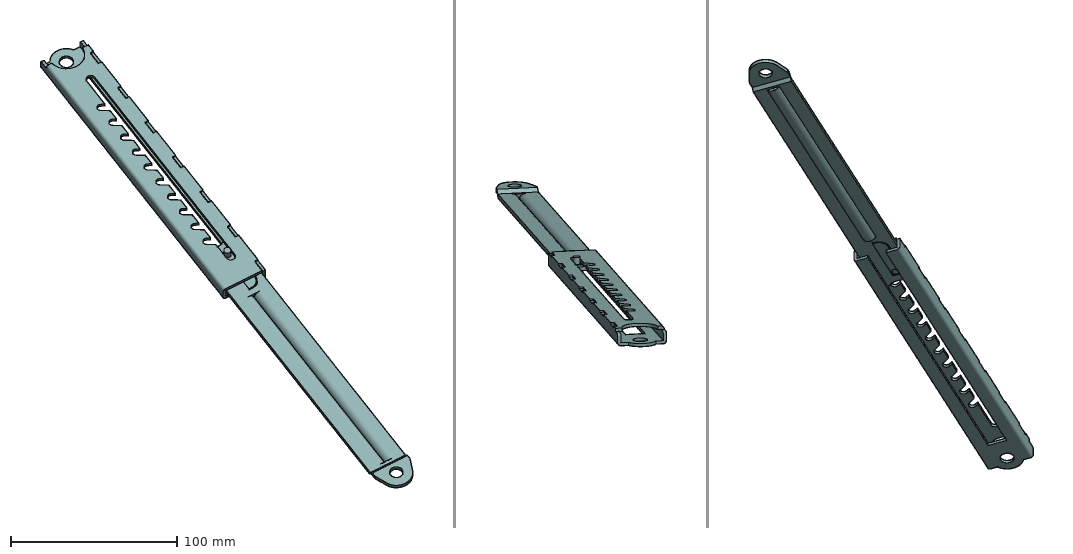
import cadquery as cq
import math


SHEET = 2.0
HOUSING_WIDTH = 30.0
HOUSING_HEIGHT = 9.5
HOUSING_END = 211.0
WALL_START = 4.7
ROOF_START = 11.0
BEND_RADIUS = 2.0
WALL_CORNER_RADIUS = 1.5
LUG_RADIUS = 10.0
HOUSING_HOLE_DIAMETER = 8.6
LUG_CLEARANCE_RADIUS = 11.0
FLOOR_OPENING_WIDTH = 12.0
FLOOR_OPENING_START = 25.0

EDGE_NOTCH_COUNT = 7
EDGE_NOTCH_PITCH = 30.96
EDGE_NOTCH_START = 16.8
EDGE_NOTCH_LENGTH = 9.4
EDGE_NOTCH_WIDTH = 2.2
EDGE_NOTCH_DEPTH = 1.0

SLOT_START = 31.0
SLOT_END = 194.6
SLOT_WIDTH = 5.6
SLOT_Y = 2.4
NOTCH_COUNT = 10
NOTCH_PITCH = 13.28
FIRST_NOTCH_X = 55.0
NOTCH_SEAT_RADIUS = 2.3
NOTCH_SEAT_DEPTH = 3.4
NOTCH_LEFT_REACH = 0.8
NOTCH_RIGHT_REACH = 5.0

TOTAL_LENGTH = 392.79
SLIDER_WIDTH = 25.0
SLIDER_THICKNESS = 2.5
SLIDER_BOTTOM = 4.5
SLIDER_START = 177.0
STEP_HEIGHT = 2.3
STEP_START = 373.3
STEP_END = 375.7
STEP_UNDERSIDE_LEAD = 0.8
TAPER_START = 378.5
SLIDER_HOLE_DIAMETER = 8.0
END_RECESS_HALF_CHORD = 7.1
SHOE_LENGTH = 23.0
GROOVE_START = 221.8
GROOVE_END = 371.0
GROOVE_HALF_WIDTH = 4.0
GROOVE_DEPTH = 3.0
BEAD_DEPTH = 2.0

WINDOW_START = 185.2
WINDOW_END = 217.6
WINDOW_BOTTOM_Y = -0.4
WINDOW_TOP_Y = 8.0
WINDOW_CORNER_RADIUS = 6.5
LATCH_GAP = 0.7

PIN_X = 188.2
PIN_DIAMETER = 4.4
PIN_TOP = 11.38

slider_top = SLIDER_BOTTOM + SLIDER_THICKNESS


def box(x_start, x_end, y_start, y_end, z_start, z_end):
    size = (x_end - x_start, y_end - y_start, z_end - z_start)
    return cq.Workplane("XY").box(*size, centered=False).translate((x_start, y_start, z_start))


def disc(x, y, radius, z_start, z_end):
    return cq.Workplane("XY").workplane(offset=z_start).center(x, y).circle(radius).extrude(z_end - z_start)


def notch_cutter(seat_x):
    """Hooked notch: a round seat whose two flanks rise to the edge of the guide slot."""
    slot_edge = SLOT_Y - SLOT_WIDTH / 2
    seat_y = slot_edge - NOTCH_SEAT_DEPTH
    left = (seat_x - NOTCH_LEFT_REACH, slot_edge)
    right = (seat_x + NOTCH_RIGHT_REACH, slot_edge)

    def tangent_point(corner, side):
        """Where the flank from the corner touches the seat circle on the given side."""
        dx, dy = corner[0] - seat_x, corner[1] - seat_y
        angle = math.atan2(dy, dx) + side * math.acos(NOTCH_SEAT_RADIUS / math.hypot(dx, dy))
        return seat_x + NOTCH_SEAT_RADIUS * math.cos(angle), seat_y + NOTCH_SEAT_RADIUS * math.sin(angle)

    return (
        cq.Workplane("XY")
        .workplane(offset=HOUSING_HEIGHT - SHEET)
        .moveTo(left[0], SLOT_Y)
        .lineTo(*left)
        .lineTo(*tangent_point(left, 1))
        .threePointArc((seat_x, seat_y - NOTCH_SEAT_RADIUS), tangent_point(right, -1))
        .lineTo(*right)
        .lineTo(right[0], SLOT_Y)
        .close()
        .extrude(SHEET)
    )


def make_housing():
    half_width = HOUSING_WIDTH / 2
    half_inside = half_width - SHEET
    body = box(WALL_START, HOUSING_END, -half_width, half_width, 0, HOUSING_HEIGHT)
    body = body.edges("|X").edges("<Y or <Z").fillet(BEND_RADIUS)
    cavity = box(WALL_START, HOUSING_END, -half_inside, half_inside, SHEET, HOUSING_HEIGHT - SHEET)
    body = body.cut(cavity)

    body = body.union(disc(LUG_RADIUS, 0, LUG_RADIUS, 0, SHEET))
    body = body.cut(disc(LUG_RADIUS, 0, HOUSING_HOLE_DIAMETER / 2, 0, SHEET))
    roof_underside = HOUSING_HEIGHT - SHEET
    body = body.cut(box(0, ROOF_START, -half_width, half_width, roof_underside, HOUSING_HEIGHT))
    wall_corners = cq.selectors.BoxSelector(
        (WALL_START - SHEET, -HOUSING_WIDTH, roof_underside - SHEET / 2),
        (WALL_START + SHEET, HOUSING_WIDTH, roof_underside + SHEET / 2),
    )
    body = body.edges("|Y").edges(wall_corners).fillet(WALL_CORNER_RADIUS)
    body = body.cut(disc(LUG_RADIUS, 0, LUG_CLEARANCE_RADIUS, SHEET, HOUSING_HEIGHT))

    half_opening = FLOOR_OPENING_WIDTH / 2
    body = body.cut(box(FLOOR_OPENING_START, HOUSING_END, -half_opening, half_opening, 0, SHEET))

    slot = (
        cq.Workplane("XY")
        .workplane(offset=HOUSING_HEIGHT - SHEET)
        .center((SLOT_START + SLOT_END) / 2, SLOT_Y)
        .slot2D(SLOT_END - SLOT_START, SLOT_WIDTH)
        .extrude(SHEET)
    )
    body = body.cut(slot)
    for index in range(NOTCH_COUNT):
        body = body.cut(notch_cutter(FIRST_NOTCH_X + index * NOTCH_PITCH))

    notch_floor = HOUSING_HEIGHT - EDGE_NOTCH_DEPTH
    for index in range(EDGE_NOTCH_COUNT):
        start = EDGE_NOTCH_START + index * EDGE_NOTCH_PITCH
        end = start + EDGE_NOTCH_LENGTH
        inner = half_width - EDGE_NOTCH_WIDTH
        body = body.cut(box(start, end, inner, half_width, notch_floor, HOUSING_HEIGHT))
    return body


def latch_outline(inset):
    """Outline of the window, or of the latch when inset by the gap: a bar with one large round corner."""
    start = WINDOW_START + inset
    end = WINDOW_END - inset
    bottom = WINDOW_BOTTOM_Y
    top = WINDOW_TOP_Y - inset
    return (
        box(start, end, bottom, top, SLIDER_BOTTOM, slider_top)
        .edges("|Z and >X and >Y")
        .fillet(WINDOW_CORNER_RADIUS - inset)
    )


def bead_bar():
    """Round bead along the underside of the slider."""
    return (
        cq.Workplane("YZ")
        .workplane(offset=GROOVE_START)
        .moveTo(-GROOVE_HALF_WIDTH, SLIDER_BOTTOM)
        .threePointArc((0, SLIDER_BOTTOM - BEAD_DEPTH), (GROOVE_HALF_WIDTH, SLIDER_BOTTOM))
        .close()
        .extrude(GROOVE_END - GROOVE_START)
    )


def groove_cutter():
    """Crease whose two convex flanks leave the top face tangentially and meet in a sharp valley."""
    valley = (0, slider_top - GROOVE_DEPTH)
    flank_radius = (GROOVE_HALF_WIDTH**2 + GROOVE_DEPTH**2) / (2 * GROOVE_DEPTH)
    return (
        cq.Workplane("YZ")
        .workplane(offset=GROOVE_START)
        .moveTo(-GROOVE_HALF_WIDTH, slider_top)
        .radiusArc(valley, flank_radius)
        .radiusArc((GROOVE_HALF_WIDTH, slider_top), flank_radius)
        .close()
        .extrude(GROOVE_END - GROOVE_START)
    )


def make_slider():
    half_width = SLIDER_WIDTH / 2
    lug_x = TOTAL_LENGTH - LUG_RADIUS

    profile = (
        cq.Workplane("XZ")
        .polyline(
            [
                (SLIDER_START, SLIDER_BOTTOM),
                (STEP_START - STEP_UNDERSIDE_LEAD, SLIDER_BOTTOM),
                (STEP_END - 2 * STEP_UNDERSIDE_LEAD, SLIDER_BOTTOM + STEP_HEIGHT),
                (TOTAL_LENGTH, SLIDER_BOTTOM + STEP_HEIGHT),
                (TOTAL_LENGTH, slider_top + STEP_HEIGHT),
                (STEP_END, slider_top + STEP_HEIGHT),
                (STEP_START, slider_top),
                (SLIDER_START, slider_top),
            ]
        )
        .close()
        .extrude(half_width, both=True)
    )

    dx = lug_x - TAPER_START
    angle = math.atan2(half_width, -dx) - math.acos(LUG_RADIUS / math.hypot(dx, half_width))
    touch_x = lug_x + LUG_RADIUS * math.cos(angle)
    touch_y = LUG_RADIUS * math.sin(angle)
    plan = (
        cq.Workplane("XY")
        .moveTo(SLIDER_START, -half_width)
        .lineTo(TAPER_START, -half_width)
        .lineTo(touch_x, -touch_y)
        .threePointArc((TOTAL_LENGTH, 0), (touch_x, touch_y))
        .lineTo(TAPER_START, half_width)
        .lineTo(SLIDER_START, half_width)
        .close()
        .extrude(PIN_TOP)
    )
    body = profile.intersect(plan)
    body = body.cut(disc(lug_x, 0, SLIDER_HOLE_DIAMETER / 2, 0, PIN_TOP))

    recess_x = SLIDER_START - math.sqrt(LUG_RADIUS**2 - END_RECESS_HALF_CHORD**2)
    body = body.cut(disc(recess_x, 0, LUG_RADIUS, SLIDER_BOTTOM, slider_top))

    shoe_end = SLIDER_START + SHOE_LENGTH
    shoe = box(SLIDER_START, shoe_end, END_RECESS_HALF_CHORD, half_width, SHEET, SLIDER_BOTTOM)
    body = body.union(shoe).union(shoe.mirror("XZ"))

    body = body.union(bead_bar())
    body = body.cut(groove_cutter())

    return body.cut(latch_outline(0))


def make_latch():
    return latch_outline(LATCH_GAP).cut(disc(PIN_X, SLOT_Y, PIN_DIAMETER / 2, SLIDER_BOTTOM, slider_top))


def make_pin():
    return disc(PIN_X, SLOT_Y, PIN_DIAMETER / 2, SLIDER_BOTTOM, PIN_TOP)


housing = make_housing()
slider = make_slider()
latch = make_latch()
pin = make_pin()

result = cq.Compound.makeCompound([housing.val(), slider.val(), latch.val(), pin.val()])